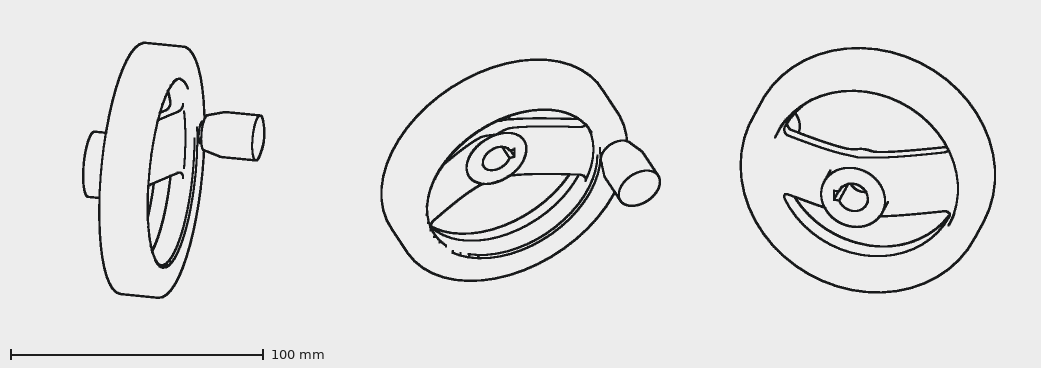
import cadquery as cq
import math

rim_width = 16.8
rim_radius = 100.0 / 2
rim_bore_radius = 77.0 / 2
rim_edge_round = 0.9

web_slope = 0.55
web_front_radius = 24.3
web_thickness = 5.2
web_fillet = 1.2
hub_back_fillet = 1.1
window_radius = 74.0 / 2
window_corner_radius = 2.0

hub_radius = 26.0 / 2
hub_front = -16.3
hub_back = 1.0
shaft_radius = 6.0
keyway_width = 4.0
keyway_reach = 7.8

handle_end = 41.8
handle_radius = 18.0 / 2
handle_top = 103.3 - rim_radius
handle_y = handle_top - handle_radius
stem_radius = 8.7 / 2
grip_start = rim_width + 1.8
grip_start_radius = 7.0
taper_length = 7.1
dome_height = 1.9


def revolve_about_x(profile):
    return profile.close().revolve(360, (0, 0, 0), (1, 0, 0))


def web_front(radius):
    """X of the front face of the web at a given radius."""
    return web_slope * (radius - web_front_radius)


def web_back(radius):
    return web_front(radius) + web_thickness


def round_circle(body, x, radius, fillet_radius):
    """Fillet the circular edge of the given radius that is centred on the axis at x."""
    tolerance = 0.01
    circles = [
        edge
        for edge in body.edges("%CIRCLE").vals()
        if abs(edge.radius() - radius) < tolerance and abs(edge.arcCenter().x - x) < tolerance
    ]
    return body.newObject(circles).fillet(fillet_radius)


def make_wheel():
    """Rim, web and hub as one turned body with its edges rounded."""
    profile = (
        cq.Workplane("XY")
        .moveTo(hub_front, 0)
        .lineTo(hub_front, hub_radius)
        .lineTo(web_front(hub_radius), hub_radius)
        .lineTo(web_front(rim_bore_radius), rim_bore_radius)
        .lineTo(0, rim_bore_radius)
        .lineTo(0, rim_radius)
        .lineTo(rim_width, rim_radius)
        .lineTo(rim_width, window_radius)
        .lineTo(web_back(window_radius), window_radius)
        .lineTo(web_back(hub_radius), hub_radius)
        .lineTo(hub_back, hub_radius)
        .lineTo(hub_back, 0)
    )
    wheel = revolve_about_x(profile)

    wheel = round_circle(wheel, web_front(hub_radius), hub_radius, web_fillet)
    wheel = round_circle(wheel, web_back(hub_radius), hub_radius, hub_back_fillet)
    wheel = round_circle(wheel, web_front(rim_bore_radius), rim_bore_radius, web_fillet)
    wheel = round_circle(wheel, 0, rim_bore_radius, rim_edge_round)
    wheel = round_circle(wheel, rim_width, window_radius, rim_edge_round)
    for x in (0, rim_width):
        wheel = round_circle(wheel, x, rim_radius, rim_edge_round)
    return wheel


def make_window(side):
    """Cutter for the opening above (side = 1) or below (side = -1) the spokes."""
    half_width = math.sqrt(window_radius**2 - hub_radius**2)
    return (
        cq.Workplane("YZ")
        .moveTo(-half_width, side * hub_radius)
        .lineTo(half_width, side * hub_radius)
        .threePointArc((0, side * window_radius), (-half_width, side * hub_radius))
        .close()
        .extrude(2 * rim_width, both=True)
        .edges("|X")
        .fillet(window_corner_radius)
    )


def make_shaft_hole():
    """Cutter for the shaft bore with a keyway on its +Y side."""
    hub_end = cq.Workplane("YZ", origin=(hub_front, 0, 0))
    hub_length = hub_back - hub_front
    bore = hub_end.circle(shaft_radius).extrude(hub_length)
    keyway = hub_end.center(keyway_reach / 2, 0).rect(keyway_reach, keyway_width).extrude(hub_length)
    return bore.union(keyway)


def make_handle():
    """Stem and tapered grip with a domed end, its stem sunk into the rim."""
    stem_start = rim_width / 2
    dome_start = handle_end - dome_height
    dome_radius = (handle_radius**2 + dome_height**2) / (2 * dome_height)
    dome_mid_radius = handle_radius / 2
    dome_mid_x = handle_end - dome_radius + math.sqrt(dome_radius**2 - dome_mid_radius**2)
    profile = (
        cq.Workplane("XY")
        .moveTo(stem_start, 0)
        .lineTo(stem_start, stem_radius)
        .lineTo(grip_start, stem_radius)
        .lineTo(grip_start, grip_start_radius)
        .lineTo(grip_start + taper_length, handle_radius)
        .lineTo(dome_start, handle_radius)
        .threePointArc((dome_mid_x, dome_mid_radius), (handle_end, 0))
    )
    return revolve_about_x(profile).translate((0, handle_y, 0))


result = make_wheel()
for window_side in (1, -1):
    result = result.cut(make_window(window_side))
result = result.cut(make_shaft_hole()).union(make_handle())